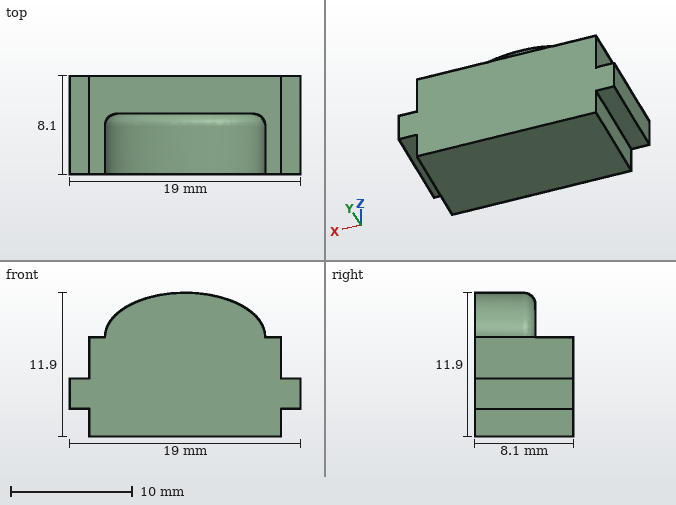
import cadquery as cq

body_width = 15.8
body_depth = 8.1
body_height = 8.2

overall_width = 19.0
rail_height = 2.5
rail_bottom = 2.3

dome_width = 13.2
dome_rise = 3.66
dome_depth = 5.0
dome_edge_radius = 1.0


def make_block(width, depth, height, bottom):
    """Box centred on X, with its front face on Y = 0."""
    return (
        cq.Workplane("XY")
        .workplane(offset=bottom)
        .rect(width, depth)
        .extrude(height)
        .translate((0, depth / 2, 0))
    )


def make_dome():
    """Upper half of an elliptical disc with its rear edge rounded."""
    disc = (
        cq.Workplane("XZ", origin=(0, 0, body_height))
        .ellipse(dome_width / 2, dome_rise)
        .extrude(-dome_depth)
        .faces(">Y")
        .edges()
        .fillet(dome_edge_radius)
    )
    upper_half = make_block(dome_width, dome_depth, dome_rise, body_height)
    return disc.intersect(upper_half)


body = make_block(body_width, body_depth, body_height, 0)
rails = make_block(overall_width, body_depth, rail_height, rail_bottom)
result = body.union(rails).union(make_dome())